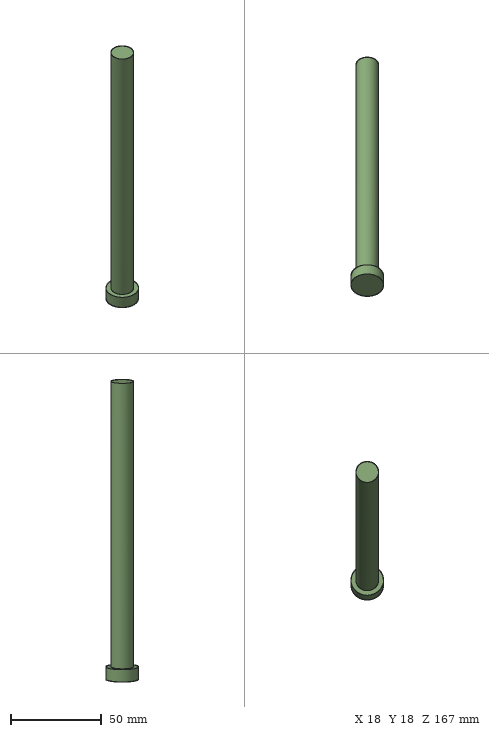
import cadquery as cq

total_length = 167.0
head_diameter = 18.0
head_height = 7.0
shank_diameter = 12.5
shank_length = total_length - head_height


def make_head():
    """Round head with its underside on Z = 0."""
    return cq.Workplane("XY").circle(head_diameter / 2).extrude(head_height)


def make_shank():
    """Round shank rising from the top of the head."""
    base = cq.Workplane("XY").workplane(offset=head_height)
    return base.circle(shank_diameter / 2).extrude(shank_length)


result = make_head().union(make_shank())